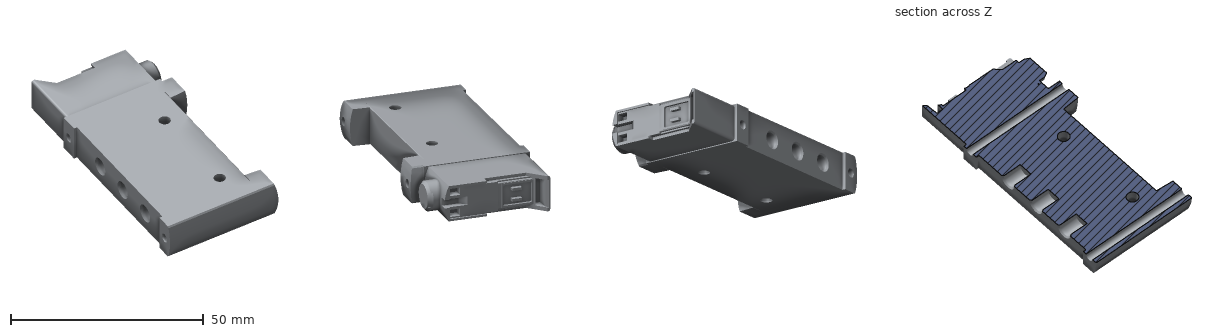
import cadquery as cq
import math


length = 69.31
width = 33.1
thickness = 10.25
half_thickness = thickness / 2

body_start = 22.25
body_end = 64.15
body_front = 0.9
body_back = 27.75
body_back_chamfer = 0.15

plate_width = 5.05
plate_start = body_start - plate_width
tab_length = 2.8
tab_lean = 0.4
crown_edge_chamfer = 0.4
side_crown = 1.1
side_crown_at_chamfer = 0.75
back_crown = 0.75
start_plate_step = 29.4
screw_hole_diameter = 2.46
screw_hole_start = 19.65
screw_hole_end = 66.6

mounting_hole_diameter = 3.2
mounting_hole_y = 21.65
mounting_hole_xs = (31.9, 58.9)
port_diameter = 4.13
port_rim_diameter = 5.0
port_rim_taper = 45
port_depth = 6.0
port_middle_x = 44.65
port_pitch = 11.0

cover_face = 2.35
cover_back = 29.3
cover_half_height = 4.9
cover_crown = 1.2
cover_edge_radius = 0.65
lip_back = 1.7
notch_floor = 4.3
notch_back = 17.55
notch_half_height = 4.08

panel_face = 2.8
panel_back = 27.8
panel_half_height = 4.3
window_front = 24.8
window_low = 1.9
window_high = 3.9
window_depth = 2.5
slot_half_height = 1.15
slot_front = 22.8
slot_depth = 1.75

socket_back = 14.4
socket_front = 4.4
ledge_face = 3.45
socket_half_height = 3.7
socket_edge_radius = 0.3
frame_back = 13.4
frame_half_height = 3.4
frame_height = 0.15
recess_back = 12.9
recess_front = 4.95
recess_half_height = 2.85
recess_radius = 0.4
recess_depth = 0.7
pin_front = 7.85
pin_back = 10.55
pin_low = 1.12
pin_high = 1.86
gap_mouth = 1.95
gap_front = 2.15
gap_back = 4.1
gap_half_height = 3.8
lip_edge = 1.2

button_x = 9.7
button_diameter = 8.1
button_top = 32.45
button_chamfer = 0.75
button_bevel_width = 4.0
button_bevel_start = 31.1


def box(x0, x1, y0, y1, z0, z1):
    """Axis-aligned box between opposite corners."""
    return cq.Workplane("XY").box(x1 - x0, y1 - y0, z1 - z0, centered=False).translate((x0, y0, z0))


def centred_box(x0, x1, y0, y1, half_height):
    """Box that is symmetric about the mid-plane."""
    return box(x0, x1, y0, y1, -half_height, half_height)


def rod_along_y(x, diameter, y0, y1):
    """Cylinder parallel to Y between two Y positions."""
    return cq.Workplane("XZ", origin=(x, y0, 0)).circle(diameter / 2).extrude(y0 - y1)


def make_back_crown(base, crest, crown, half_height):
    """Slab along the whole part whose +Y side is crowned."""
    edge = crest - crown
    return (
        cq.Workplane("YZ")
        .moveTo(base, -half_height)
        .lineTo(edge, -half_height)
        .threePointArc((crest, 0), (edge, half_height))
        .lineTo(base, half_height)
        .close()
        .extrude(length)
    )


def make_side_crown(base, crest, y0, y1):
    """Slab from a flat side at X = base to a crowned side with chamfered edges at X = crest."""
    outward = math.copysign(1, crest - base)
    corner = crest - outward * side_crown
    arc_end = crest - outward * side_crown_at_chamfer
    arc_height = half_thickness - crown_edge_chamfer
    return (
        cq.Workplane("XZ", origin=(0, y0, 0))
        .moveTo(base, -half_thickness)
        .lineTo(corner, -half_thickness)
        .lineTo(arc_end, -arc_height)
        .threePointArc((crest, 0), (arc_end, arc_height))
        .lineTo(corner, half_thickness)
        .lineTo(base, half_thickness)
        .close()
        .extrude(y0 - y1)
    )


def make_tab(joint_x, direction):
    """Tab behind the body, its free side leaning towards the plate."""
    return (
        cq.Workplane("XY")
        .workplane(offset=-half_thickness)
        .moveTo(joint_x, body_back)
        .lineTo(joint_x + direction * tab_length, body_back)
        .lineTo(joint_x + direction * (tab_length - tab_lean), width)
        .lineTo(joint_x, width)
        .close()
        .extrude(thickness)
    )


def make_body():
    """Plain block with two mounting holes and three blind ports in the front."""
    body = centred_box(body_start, body_end, body_front, body_back, half_thickness)
    body = body.edges("|X and >Y").chamfer(body_back_chamfer)
    for x in mounting_hole_xs:
        hole = cq.Workplane("XY", origin=(x, mounting_hole_y, -half_thickness))
        body = body.cut(hole.circle(mounting_hole_diameter / 2).extrude(thickness))
    rim_depth = (port_rim_diameter - port_diameter) / 2
    for step in (-1, 0, 1):
        x = port_middle_x + step * port_pitch
        port = rod_along_y(x, port_diameter, body_front, body_front + port_depth)
        rim = cq.Workplane("XZ", origin=(x, body_front, 0)).circle(port_rim_diameter / 2)
        rim = rim.extrude(-rim_depth, taper=port_rim_taper)
        body = body.cut(port).cut(rim)
    return body


def make_plates():
    """Both end plates with their tabs, crowned on the back."""
    start_plate = centred_box(plate_start, body_start, 0, start_plate_step, half_thickness)
    start_plate = start_plate.union(make_side_crown(body_start, plate_start, start_plate_step, width))
    start_plate = start_plate.union(make_tab(body_start, 1))
    end_plate = make_side_crown(body_end, length, 0, width).union(make_tab(body_end, -1))
    plates = start_plate.union(end_plate)
    return plates.intersect(make_back_crown(0, width, back_crown, half_thickness))


def make_cover():
    """Pilot cover with its pointed front lip and the side notches beside the socket."""
    outline = (
        cq.Workplane("XY")
        .workplane(offset=-cover_half_height)
        .moveTo(plate_start, body_front)
        .lineTo(0, body_front)
        .lineTo(0, lip_back)
        .lineTo(notch_floor, lip_back + notch_floor)
        .lineTo(notch_floor, notch_back)
        .lineTo(cover_face, notch_back)
        .lineTo(cover_face, cover_back)
        .lineTo(plate_start, cover_back)
        .close()
        .extrude(2 * cover_half_height)
    )
    cover = outline.edges("|X and <Y").fillet(cover_edge_radius)
    cover = cover.intersect(make_back_crown(0, cover_back, cover_crown, cover_half_height))
    cover = cover.cut(centred_box(cover_face, panel_face, notch_back, panel_back, panel_half_height))
    return cover


def cut_panel(cover):
    """Two windows and the ramped slot in the recessed panel."""
    for z in (window_low, -window_high):
        window = box(cover_face, panel_face + window_depth, window_front, panel_back,
                     z, z + window_high - window_low)
        cover = cover.cut(window)
    slot_floor = panel_face + slot_depth
    slot = (
        cq.Workplane("XY")
        .workplane(offset=-slot_half_height)
        .moveTo(panel_face, slot_front)
        .lineTo(slot_floor, slot_front + slot_depth)
        .lineTo(slot_floor, cover_back)
        .lineTo(cover_face, cover_back)
        .lineTo(cover_face, slot_front)
        .close()
        .extrude(2 * slot_half_height)
    )
    return cover.cut(slot)


def add_socket(cover):
    """Plug socket between the notches: stepped block, framed recess and two contact pins."""
    block_face = panel_face + frame_height
    cover = cover.union(centred_box(panel_face, notch_floor, socket_back, notch_back, notch_half_height))
    cover = cover.union(centred_box(ledge_face, notch_floor, socket_front, socket_back, notch_half_height))
    block = centred_box(block_face, notch_floor, socket_front, socket_back, socket_half_height)
    cover = cover.union(block.edges("|Y and <X").fillet(socket_edge_radius))
    cover = cover.union(centred_box(panel_face, block_face, socket_front, frame_back, frame_half_height))
    recess_floor = panel_face + recess_depth
    recess = centred_box(panel_face, recess_floor, recess_front, recess_back, recess_half_height)
    cover = cover.cut(recess.edges("|X").fillet(recess_radius))
    for z in (pin_low, -pin_high):
        cover = cover.union(box(cover_face, recess_floor, pin_front, pin_back, z, z + pin_high - pin_low))
    return cover


def cut_lip_gap(cover):
    """Gap between the socket and the lip, with a leaning front wall and a bevel at the lip's edge."""
    gap = (
        cq.Workplane("XY")
        .workplane(offset=-gap_half_height)
        .moveTo(0, lip_edge)
        .lineTo(gap_mouth - lip_edge, gap_mouth)
        .lineTo(notch_floor, gap_front)
        .lineTo(notch_floor, gap_back)
        .lineTo(0, gap_back)
        .close()
        .extrude(2 * gap_half_height)
    )
    return cover.cut(gap)


def make_button():
    """Chamfered override button with a steeper bevel on the -X and +X sides."""
    radius = button_diameter / 2
    base = cover_back - cover_crown
    button = rod_along_y(button_x, button_diameter, base, button_top)
    button = button.faces(">Y").chamfer(button_chamfer)
    bevel_zone = centred_box(button_x - radius, button_x + radius, button_bevel_start, button_top,
                            button_bevel_width / 2)
    bevel_angle = math.degrees(math.atan(button_chamfer / (button_top - button_bevel_start)))
    cone = (
        cq.Workplane("XZ", origin=(button_x, button_bevel_start, 0))
        .circle(radius)
        .extrude(button_bevel_start - button_top, taper=bevel_angle)
    )
    return button.cut(bevel_zone.cut(cone))


cover = cut_lip_gap(add_socket(cut_panel(make_cover())))
result = cover.union(make_button()).union(make_plates()).union(make_body())
for hole_x in (screw_hole_start, screw_hole_end):
    result = result.cut(rod_along_y(hole_x, screw_hole_diameter, 0, width))